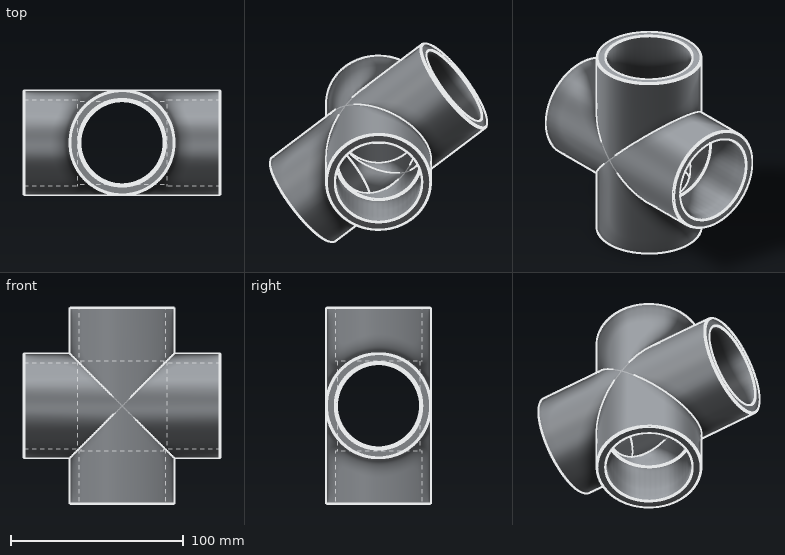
import cadquery as cq

overall_length = 114.0
outer_diameter = 61.0
socket_diameter = 50.0
bore_diameter = 48.0
socket_depth = 31.0
outer_edge_chamfer = 0.7
socket_mouth_chamfer = 0.5

half_length = overall_length / 2
shoulder_position = half_length - socket_depth


def outer_run(plane):
    """Straight solid run centred on the origin, with both outer end edges chamfered."""
    run = cq.Workplane(plane).circle(outer_diameter / 2).extrude(half_length, both=True)
    return run.edges("%CIRCLE").chamfer(outer_edge_chamfer)


def run_cavity(plane):
    """Stepped through-bore: a socket at each end, flared at its mouth."""
    bore_radius = bore_diameter / 2
    socket_radius = socket_diameter / 2
    mouth_radius = socket_radius + socket_mouth_chamfer
    cavity = cq.Workplane(plane).circle(bore_radius).extrude(half_length, both=True)
    for side in (1, -1):
        socket = (
            cq.Workplane(plane)
            .workplane(offset=side * shoulder_position)
            .circle(socket_radius)
            .extrude(side * socket_depth)
        )
        mouth = (
            cq.Workplane(plane)
            .workplane(offset=side * (half_length - socket_mouth_chamfer))
            .circle(socket_radius)
            .workplane(offset=side * socket_mouth_chamfer)
            .circle(mouth_radius)
            .loft(ruled=True)
        )
        cavity = cavity.union(socket).union(mouth)
    return cavity


run_planes = ("YZ", "XY")

result = outer_run(run_planes[0]).union(outer_run(run_planes[1]))
for run_plane in run_planes:
    result = result.cut(run_cavity(run_plane))